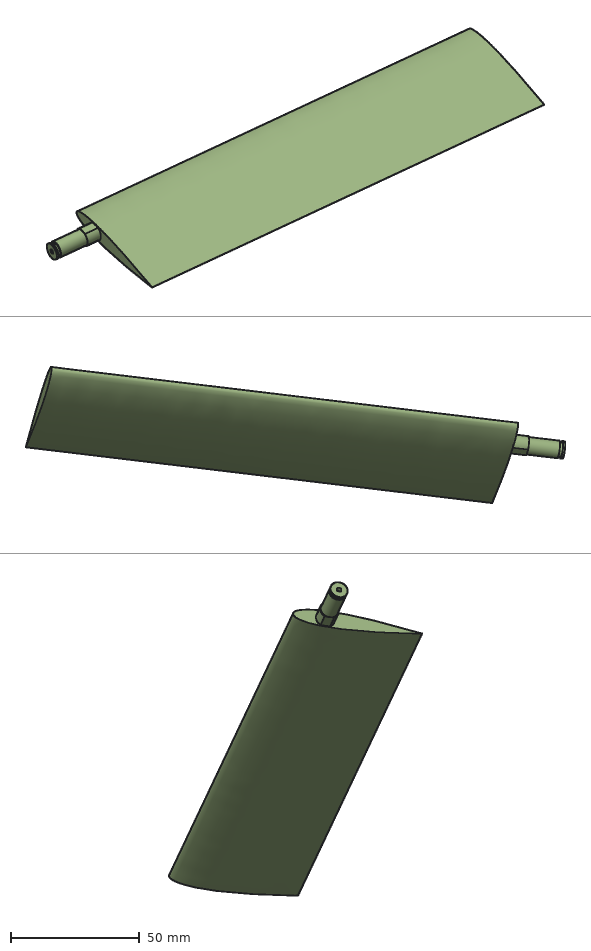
import cadquery as cq
import math

chord = 52.0
blade_thickness = 7.6
span = 185.0
stations_per_side = 16

shaft_axis_x = chord / 4
shaft_length = 20.5
journal_diameter = 7.0
collar_diameter = 7.6
collar_length = 6.2
collar_across_flats = 6.5

groove_width = 1.2
groove_end_land = 0.8
groove_depth = 0.6
centre_hole_diameter = 1.8
centre_hole_depth = 2.0


def half_thickness(fraction):
    """NACA half thickness at a fraction of the chord from the leading edge."""
    return 5 * blade_thickness * (
        0.2969 * math.sqrt(fraction)
        - 0.1260 * fraction
        - 0.3516 * fraction**2
        + 0.2843 * fraction**3
        - 0.1015 * fraction**4
    )


def section_point(station):
    """Section point, running from the lower tail (negative) round the nose (0) to the upper tail."""
    fraction = (1 - math.cos(math.pi * station / stations_per_side)) / 2
    height = math.copysign(half_thickness(fraction), station)
    return (fraction * chord, height)


def make_blade():
    stations = range(-stations_per_side, stations_per_side + 1)
    return (
        cq.Workplane("XZ")
        .spline([section_point(station) for station in stations])
        .close()
        .extrude(-span)
    )


def shaft_cylinder(diameter, start, length):
    """Cylinder on the shaft axis; start is its distance from the blade root."""
    return (
        cq.Workplane("XZ", origin=(shaft_axis_x, -start, 0))
        .circle(diameter / 2)
        .extrude(length)
    )


def make_collar():
    """Round collar with parallel flats above and below."""
    flats = cq.Workplane("XY").box(collar_diameter, collar_length, collar_across_flats)
    return shaft_cylinder(collar_diameter, 0, collar_length).intersect(
        flats.translate((shaft_axis_x, -collar_length / 2, 0))
    )


def make_shaft():
    groove_start = shaft_length - groove_end_land - groove_width
    core_diameter = journal_diameter - 2 * groove_depth
    journal = shaft_cylinder(journal_diameter, collar_length, shaft_length - collar_length)
    groove = shaft_cylinder(journal_diameter, groove_start, groove_width).cut(
        shaft_cylinder(core_diameter, groove_start, groove_width)
    )
    centre_hole = shaft_cylinder(
        centre_hole_diameter, shaft_length - centre_hole_depth, centre_hole_depth
    )
    return make_collar().union(journal).cut(groove).cut(centre_hole)


blade = make_blade()
shaft = make_shaft()
result = cq.Compound.makeCompound([blade.val(), shaft.val()])